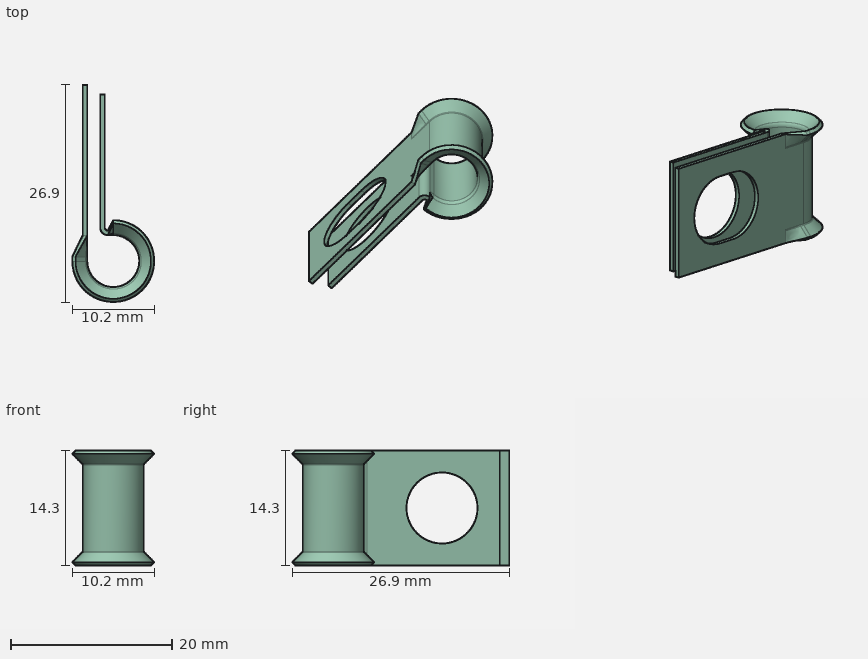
import cadquery as cq
import math

thickness = 0.6
height = 14.25
inner_radius = 3.2
outer_radius = inner_radius + thickness
overall_length = 26.9

flare_depth = 1.8
flare_angle = math.radians(45)
flare_outer_radius = 5.09
rim_bend_radius = 0.22
flare_base = height / 2 - flare_depth
flare_straight = 0.57
flare_fade_end = 3.2

long_leg_end = overall_length - flare_outer_radius
short_leg_end = long_leg_end - 1.18
short_leg_x = -1.65
leg_bend_outer = 0.97
leg_bend_inner = leg_bend_outer - thickness
leg_bend_x = short_leg_x + leg_bend_outer
leg_bend_y = inner_radius + leg_bend_outer

hole_y = 13.48
hole_diameter = 8.77
slot_length = 11.17


def block(x_min, x_max, y_min, y_max, block_height):
    """Box between the given X and Y limits, centred on mid-height."""
    return (
        cq.Workplane("XY")
        .box(x_max - x_min, y_max - y_min, block_height, centered=(False, False, True))
        .translate((x_min, y_min, 0))
    )


def rim_bend_point(radius, angle):
    """Radial and Z position on a bend of the given radius about the rim bend centre."""
    return (
        outer_radius + rim_bend_radius - radius * math.cos(angle),
        flare_base + radius * math.sin(angle),
    )


def flare_section(plane):
    """Section of the upper rim: radius along local X, height along local Y."""
    large_bend = rim_bend_radius + thickness
    outer_bend_end = rim_bend_point(rim_bend_radius, flare_angle)
    inner_bend_end = rim_bend_point(large_bend, flare_angle)
    outer_run = flare_outer_radius - outer_bend_end[0]
    inner_rise = height / 2 - inner_bend_end[1]
    return (
        cq.Workplane(plane)
        .moveTo(outer_radius, flare_base)
        .threePointArc(rim_bend_point(rim_bend_radius, flare_angle / 2), outer_bend_end)
        .lineTo(flare_outer_radius, outer_bend_end[1] + outer_run / math.tan(flare_angle))
        .lineTo(inner_bend_end[0] + inner_rise * math.tan(flare_angle), height / 2)
        .lineTo(*inner_bend_end)
        .threePointArc(rim_bend_point(large_bend, flare_angle / 2), (inner_radius, flare_base))
        .close()
    )


def flat_section(plane):
    """Flat strip section with one edge for each edge of the flared section."""
    return (
        cq.Workplane(plane)
        .moveTo(outer_radius, flare_base)
        .lineTo(outer_radius, rim_bend_point(rim_bend_radius, flare_angle)[1])
        .lineTo(outer_radius, height / 2)
        .lineTo(inner_radius, height / 2)
        .lineTo(inner_radius, rim_bend_point(rim_bend_radius + thickness, flare_angle)[1])
        .lineTo(inner_radius, flare_base)
        .close()
    )


def fade(flared_plane, flat_plane):
    """Transition from the flared section to the flat strip."""
    flared_wire = flare_section(flared_plane).val()
    flat_wire = flat_section(flat_plane).val()
    return cq.Workplane(cq.Solid.makeLoft([flared_wire, flat_wire], True))


def long_leg_plane(y):
    return cq.Plane(origin=(0, y, 0), xDir=(-1, 0, 0), normal=(0, 1, 0))


def short_leg_plane(x):
    return cq.Plane(origin=(x, 0, 0), xDir=(0, 1, 0), normal=(1, 0, 0))


def make_upper_flare():
    ring = flare_section(long_leg_plane(0)).revolve(270, (0, 0), (0, 1))
    straight = flare_section(long_leg_plane(0)).extrude(flare_straight)
    long_leg_fade = fade(long_leg_plane(flare_straight), long_leg_plane(flare_fade_end))
    short_leg_fade = fade(short_leg_plane(0), short_leg_plane(leg_bend_x))
    return ring.union(straight).union(long_leg_fade).union(short_leg_fade)


def make_barrel():
    """Three-quarter tube, open toward the legs, with its straight ends."""
    barrel_height = 2 * flare_base
    tube = (
        cq.Workplane("XY", origin=(0, 0, -flare_base))
        .circle(outer_radius)
        .circle(inner_radius)
        .extrude(barrel_height)
        .cut(block(-outer_radius, 0, 0, outer_radius, barrel_height))
    )
    long_side = block(-outer_radius, -inner_radius, 0, flare_fade_end, barrel_height)
    short_side = block(leg_bend_x, 0, inner_radius, outer_radius, barrel_height)
    return tube.union(long_side).union(short_side)


def make_long_leg():
    leg = block(-outer_radius, -inner_radius, flare_fade_end, long_leg_end, height)
    slot = (
        cq.Workplane("YZ", origin=(-outer_radius, hole_y, 0))
        .slot2D(slot_length, hole_diameter)
        .extrude(thickness)
    )
    return leg.cut(slot)


def make_short_leg():
    leg = block(short_leg_x, short_leg_x + thickness, leg_bend_y, short_leg_end, height)
    bend = (
        cq.Workplane("XY", origin=(leg_bend_x, leg_bend_y, -height / 2))
        .circle(leg_bend_outer)
        .circle(leg_bend_inner)
        .extrude(height)
        .intersect(block(short_leg_x, leg_bend_x, inner_radius, leg_bend_y, height))
    )
    hole = (
        cq.Workplane("YZ", origin=(short_leg_x, hole_y, 0))
        .circle(hole_diameter / 2)
        .extrude(thickness)
    )
    return leg.union(bend).cut(hole)


upper_flare = make_upper_flare()
lower_flare = upper_flare.mirror("XY")
result = make_barrel().union(make_long_leg()).union(make_short_leg()).union(upper_flare).union(lower_flare)